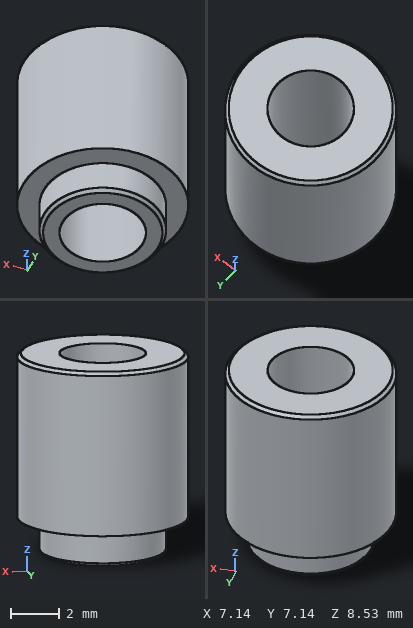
import cadquery as cq

total_height = 8.53
body_diameter = 7.14
spigot_diameter = 5.28
bore_diameter = 3.6
spigot_height = 1.53
edge_chamfer = 0.15

body_height = total_height - spigot_height

spigot = (
    cq.Workplane("XY")
    .circle(spigot_diameter / 2)
    .extrude(spigot_height)
    .faces("<Z")
    .chamfer(edge_chamfer)
)

body = (
    cq.Workplane("XY")
    .workplane(offset=spigot_height)
    .circle(body_diameter / 2)
    .extrude(body_height)
    .faces(">Z")
    .chamfer(edge_chamfer)
)

bore = cq.Workplane("XY").circle(bore_diameter / 2).extrude(total_height)

result = spigot.union(body).cut(bore)